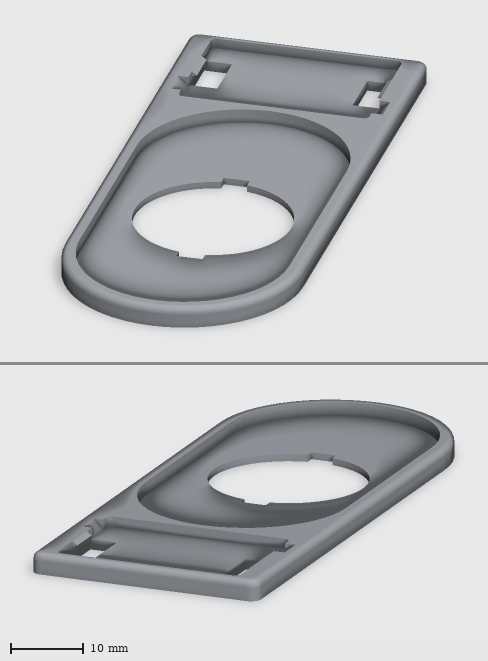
import cadquery as cq

LENGTH = 83.0
WIDTH = 34.0
THICKNESS = 3.0
END_RADIUS = WIDTH / 2
TOP_Y = LENGTH - END_RADIUS
CORNER_RADIUS = 1.5
EDGE_FILLET = 1.0

RECESS_RADIUS = 15.0
RECESS_SPACING = 30.05
RECESS_DEPTH = 2.0

HOLE_Y = RECESS_SPACING / 2
HOLE_DIAMETER = 22.4
KEY_WIDTH = 3.7
KEY_SPAN = 24.8

LABEL_WIDTH = 27.3
LABEL_LENGTH = 18.3
LABEL_MARGIN = 1.4
LABEL_DEPTH = 1.5
LABEL_CORNER_RADIUS = 0.8
LABEL_TOP_Y = TOP_Y - LABEL_MARGIN
LABEL_FLOOR_Z = THICKNESS - LABEL_DEPTH

WINDOW_WIDTH = 4.0
WINDOW_LENGTH = 7.7
WINDOW_Y = TOP_Y - 9.5
WEDGE_REACH = 0.75
WEDGE_Y = TOP_Y - 9.55
WEDGE_LENGTH = 5.0
WEDGE_HEIGHT = 0.75
WEDGE_SLOPE_DROP = 0.5

RAMP_REACH = 1.6
RAMP_LENGTH = 4.0
RAMP_Y = TOP_Y - 15.85


def box(width, length, bottom, top, x, y):
    """Box centred on (x, y) between two heights."""
    return cq.Workplane("XY", origin=(x, y, bottom)).rect(width, length).extrude(top - bottom)


def prism(points, length, y):
    """Extrude an XZ profile along Y, centred on y."""
    return cq.Workplane("XZ", origin=(0, y, 0)).polyline(points).close().extrude(length / 2, both=True)


def both_sides(body):
    """Join a body with its mirror image across the YZ plane."""
    return body.union(body.mirror("YZ"))


def make_plate():
    plate = (
        cq.Workplane("XY")
        .moveTo(-END_RADIUS, 0)
        .threePointArc((0, -END_RADIUS), (END_RADIUS, 0))
        .lineTo(END_RADIUS, TOP_Y)
        .lineTo(-END_RADIUS, TOP_Y)
        .close()
        .extrude(THICKNESS)
    )
    plate = plate.edges("|Z and >Y").fillet(CORNER_RADIUS)
    return plate.faces(">Z").edges().fillet(EDGE_FILLET)


def make_recess():
    return (
        cq.Workplane("XY", origin=(0, HOLE_Y, THICKNESS))
        .slot2D(RECESS_SPACING + 2 * RECESS_RADIUS, 2 * RECESS_RADIUS, 90)
        .extrude(-RECESS_DEPTH)
    )


def make_keyed_hole():
    hole = cq.Workplane("XY", origin=(0, HOLE_Y, 0)).circle(HOLE_DIAMETER / 2).extrude(THICKNESS)
    return hole.union(box(KEY_WIDTH, KEY_SPAN, 0, THICKNESS, 0, HOLE_Y))


def make_label_pocket():
    label_y = LABEL_TOP_Y - LABEL_LENGTH / 2
    pocket = box(LABEL_WIDTH, LABEL_LENGTH, LABEL_FLOOR_Z, THICKNESS, 0, label_y)
    return pocket.edges("|Z").fillet(LABEL_CORNER_RADIUS)


def make_windows():
    window_x = (LABEL_WIDTH - WINDOW_WIDTH) / 2
    return both_sides(box(WINDOW_WIDTH, WINDOW_LENGTH, 0, THICKNESS, window_x, WINDOW_Y))


def make_ramps():
    wall_x = LABEL_WIDTH / 2
    profile = [
        (wall_x, LABEL_FLOOR_Z),
        (wall_x + RAMP_REACH, THICKNESS),
        (wall_x, THICKNESS),
    ]
    return both_sides(prism(profile, RAMP_LENGTH, RAMP_Y))


def make_wedges():
    wall_x = LABEL_WIDTH / 2
    root_x = wall_x + WEDGE_REACH
    nose_x = wall_x - WEDGE_REACH
    profile = [
        (root_x, THICKNESS),
        (wall_x, THICKNESS),
        (nose_x, THICKNESS - WEDGE_SLOPE_DROP),
        (wall_x, THICKNESS - WEDGE_HEIGHT),
        (root_x, THICKNESS - WEDGE_HEIGHT),
    ]
    return both_sides(prism(profile, WEDGE_LENGTH, WEDGE_Y))


result = (
    make_plate()
    .cut(make_recess())
    .cut(make_keyed_hole())
    .cut(make_label_pocket())
    .cut(make_windows())
    .cut(make_ramps())
    .union(make_wedges())
)